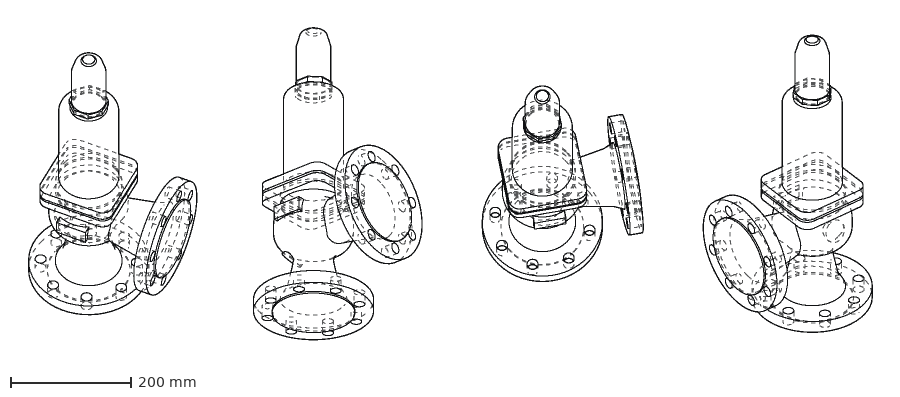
import cadquery as cq
import math

flange_diameter = 200.0
flange_thickness = 22.5
raised_face_radius = 69.0
raised_face_height = 3.0
flange_back = raised_face_height + flange_thickness
bolt_count = 8
bolt_circle_radius = 80.0
bolt_hole_diameter = 18.0

outlet_axis_z = 156.0
overall_length = 255.0
outlet_face_x = overall_length - flange_diameter / 2
outlet_hub_radius = 56.5
outlet_taper_end_x = 112.5
outlet_taper_end_radius = 49.0
outlet_root_x = 21.5
outlet_root_radius = 33.0

inlet_hub_radius = 55.5
inlet_taper_z = 45.0
inlet_taper_radius = 44.5
throat_z = 93.5
throat_radius = 34.0
bowl_start_z = 124.0
bowl_start_radius = 49.5
body_radius = 66.5
belly_bottom_z = 151.0
belly_top_z = 166.5
shoulder_end_z = 189.0
shoulder_end_radius = 55.0
neck_radius = 52.0
neck_bottom_z = 193.5
neck_flare_z = 197.5
neck_top_radius = 55.5

square_side = 131.5
square_corner_radius = 18.0
lower_square_z = 204.0
lower_square_thickness = 15.0
gasket_radius = 55.5
gasket_thickness = 4.5
upper_square_thickness = 16.0
upper_square_z = lower_square_z + lower_square_thickness + gasket_thickness
bonnet_bottom_z = upper_square_z + upper_square_thickness

bonnet_radius = 50.0
bonnet_top_z = 414.0
bonnet_edge_radius = 11.0
collar_radius = 27.0
collar_foot_radius = 31.5
collar_foot_height = 4.0
nut_bottom_z = 420.5
nut_height = 10.0
nut_sides = 8
nut_across_flats = 60.5
cap_radius = 29.0
cap_taper_z = 503.5
cap_shoulder_z = 522.5
cap_shoulder_radius = 23.5
cap_top_z = 530.5
button_base_radius = 13.0
button_top_radius = 10.0
overall_height = 533.5

plate_width = 53.5
plate_height = 24.0
plate_bottom_z = 157.5
plate_face_y = -70.0

boss_diameter = 38.5
boss_length = 42.5
boss_face_x = -48.5
boss_face_z = 116.5
boss_slope = math.radians(39)


def revolve_about_z(profile):
    """Close an XZ profile and turn it about the Z axis."""
    return profile.close().revolve(360, (0, 0, 0), (0, 1, 0))


def make_pipe_flange():
    """Drilled flange with its raised face on z = 0 and its back toward +Z."""
    face = cq.Workplane("XY").circle(raised_face_radius).extrude(raised_face_height)
    disc = (
        cq.Workplane("XY")
        .workplane(offset=raised_face_height)
        .circle(flange_diameter / 2)
        .extrude(flange_thickness)
    )
    half_pitch_angle = 180 / bolt_count
    holes = (
        cq.Workplane("XY")
        .polarArray(bolt_circle_radius, half_pitch_angle, 360, bolt_count)
        .circle(bolt_hole_diameter / 2)
        .extrude(flange_back)
    )
    return face.union(disc).cut(holes)


def make_body():
    """Inlet hub, throat, rounded belly and neck in one turned shape."""
    profile = (
        cq.Workplane("XZ")
        .moveTo(0, flange_back)
        .lineTo(inlet_hub_radius, flange_back)
        .lineTo(inlet_taper_radius, inlet_taper_z)
        .lineTo(throat_radius, throat_z)
        .tangentArcPoint((bowl_start_radius, bowl_start_z), relative=False)
        .tangentArcPoint((body_radius, belly_bottom_z), relative=False)
        .lineTo(body_radius, belly_top_z)
        .tangentArcPoint((shoulder_end_radius, shoulder_end_z), relative=False)
        .tangentArcPoint((neck_radius, neck_bottom_z), relative=False)
        .lineTo(neck_radius, neck_flare_z)
        .tangentArcPoint((neck_top_radius, lower_square_z), relative=False)
        .lineTo(0, lower_square_z)
    )
    return revolve_about_z(profile)


def make_outlet():
    """Tapered branch with its flange, laid along +X."""
    hub_back_x = outlet_face_x - flange_back
    branch = (
        cq.Workplane("XY")
        .moveTo(outlet_root_x, 0)
        .lineTo(outlet_root_x, outlet_root_radius)
        .lineTo(outlet_taper_end_x, outlet_taper_end_radius)
        .lineTo(hub_back_x, outlet_hub_radius)
        .lineTo(hub_back_x, 0)
        .close()
        .revolve(360, (0, 0, 0), (1, 0, 0))
    )
    flange = (
        make_pipe_flange()
        .rotate((0, 0, 0), (0, 1, 0), -90)
        .translate((outlet_face_x, 0, 0))
    )
    return branch.union(flange).translate((0, 0, outlet_axis_z))


def make_square_flange(bottom_z, thickness):
    return (
        cq.Workplane("XY")
        .workplane(offset=bottom_z)
        .rect(square_side, square_side)
        .extrude(thickness)
        .edges("|Z")
        .fillet(square_corner_radius)
    )


def make_gasket():
    return (
        cq.Workplane("XY")
        .workplane(offset=lower_square_z + lower_square_thickness)
        .circle(gasket_radius)
        .extrude(gasket_thickness)
    )


def make_bonnet():
    return (
        cq.Workplane("XY")
        .workplane(offset=bonnet_bottom_z)
        .circle(bonnet_radius)
        .extrude(bonnet_top_z - bonnet_bottom_z)
        .faces(">Z")
        .edges()
        .fillet(bonnet_edge_radius)
    )


def make_nut():
    """Octagonal nut with flats facing the X and Y directions."""
    return (
        cq.Workplane("XY")
        .workplane(offset=nut_bottom_z)
        .polygon(nut_sides, nut_across_flats, circumscribed=True)
        .extrude(nut_height)
    )


def make_cap():
    """Flared collar, straight cap, tapered shoulder and top button."""
    profile = (
        cq.Workplane("XZ")
        .moveTo(0, bonnet_top_z)
        .lineTo(collar_foot_radius, bonnet_top_z)
        .lineTo(collar_radius, bonnet_top_z + collar_foot_height)
        .lineTo(collar_radius, nut_bottom_z)
        .lineTo(cap_radius, nut_bottom_z)
        .lineTo(cap_radius, cap_taper_z)
        .lineTo(cap_shoulder_radius, cap_shoulder_z)
        .tangentArcPoint((button_base_radius, cap_top_z), relative=False)
        .lineTo(button_top_radius, overall_height)
        .lineTo(0, overall_height)
    )
    return revolve_about_z(profile)


def make_name_plate():
    return (
        cq.Workplane("XY")
        .box(plate_width, -plate_face_y, plate_height, centered=(True, False, False))
        .translate((0, plate_face_y, plate_bottom_z))
    )


def make_drain_boss():
    """Cylinder running from its slanted outer face up into the body."""
    inward = cq.Vector(math.cos(boss_slope), 0, math.sin(boss_slope))
    face_centre = cq.Vector(boss_face_x, 0, boss_face_z)
    boss = cq.Solid.makeCylinder(boss_diameter / 2, boss_length, face_centre, inward)
    return cq.Workplane("XY").add(boss)


result = (
    make_pipe_flange()
    .union(make_body())
    .union(make_outlet())
    .union(make_square_flange(lower_square_z, lower_square_thickness))
    .union(make_gasket())
    .union(make_square_flange(upper_square_z, upper_square_thickness))
    .union(make_bonnet())
    .union(make_cap())
    .union(make_nut())
    .union(make_name_plate())
    .union(make_drain_boss())
)